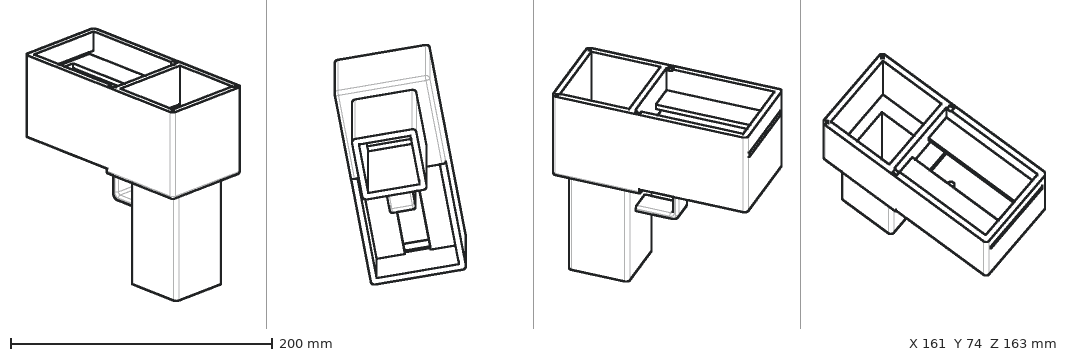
import cadquery as cq

box_length = 161.0
box_width = 74.0
top_z = 163.0
wall = 5.0
corner_radius = 3.0
mid_y = box_width / 2

tube_outer = 50.0
tube_opening = 40.0
tube_length = 90.0

floor_bottom_z = tube_length
floor_top_z = floor_bottom_z + wall
floor_start_x = 89.0

divider_start_x = floor_start_x + wall
divider_end_x = divider_start_x + wall
divider_bottom_z = 131.0
cavity_end_x = box_length - wall
cavity_width = box_width - 2 * wall
tube_center_x = (divider_end_x + cavity_end_x) / 2
tube_front_x = tube_center_x - tube_outer / 2

rail_top_z = 143.0
rail_thickness = 4.0
rail_gap = 20.0
slit_height = 4.0

hook_front_x = 67.5
hook_bottom_z = 55.0
hook_thickness = 5.0
hook_width = 20.0
hook_bend_radius = 5.0
hook_edge_radius = 2.0
hook_inner_radius = 2.0

groove_diameter = 4.0
groove_length = 3.5
groove_x = floor_start_x + groove_diameter / 2
screw_diameter = 2.1
screw_depth = 10.0
screw_inset = 3.0


def block(x_range, y_range, z_range):
    """Box between the given limits on each axis."""
    sizes = [high - low for low, high in (x_range, y_range, z_range)]
    corner = (x_range[0], y_range[0], z_range[0])
    return cq.Workplane("XY").box(*sizes, centered=False).translate(corner)


def centered_range(center, size):
    return (center - size / 2, center + size / 2)


def make_shell():
    """Solid box body, stepped up by the floor thickness in front of the floor plate."""
    full_y = (0, box_width)
    shell = block((0, box_length), full_y, (floor_bottom_z, top_z))
    shell = shell.edges("|Z").fillet(corner_radius)
    shell = shell.faces("<Z").edges().fillet(corner_radius)
    return shell.cut(block((0, floor_start_x), full_y, (floor_bottom_z, floor_top_z)))


def cut_compartments(body):
    """Open-bottomed front compartment and floored rear one, joined below the divider."""
    inner_y = centered_range(mid_y, cavity_width)
    front = block((wall, divider_start_x), inner_y, (floor_top_z, top_z))
    rear = block((divider_end_x, cavity_end_x), inner_y, (floor_top_z, top_z))
    passage = block((divider_start_x, divider_end_x), inner_y, (floor_top_z, divider_bottom_z))
    return body.cut(front).cut(rear).cut(passage)


def make_rails():
    """Two flat rails along the side walls with a gap between them."""
    z_range = (rail_top_z - rail_thickness, rail_top_z)
    x_range = (wall, divider_start_x)
    shelf = block(x_range, centered_range(mid_y, cavity_width), z_range)
    return shelf.cut(block(x_range, centered_range(mid_y, rail_gap), z_range))


def make_slit():
    """Slit through the front wall, level with the rail tops."""
    return block((0, wall), centered_range(mid_y, cavity_width), (rail_top_z, rail_top_z + slit_height))


def make_tube():
    tube = block(
        centered_range(tube_center_x, tube_outer),
        centered_range(mid_y, tube_outer),
        (0, tube_length),
    )
    return tube.edges("|Z").fillet(corner_radius)


def make_tube_opening():
    """Square passage through the tube and the floor plate."""
    return block(
        centered_range(tube_center_x, tube_opening),
        centered_range(mid_y, tube_opening),
        (0, floor_top_z),
    )


def make_hook():
    """L-shaped hook with a rounded bend and rounded side edges."""
    inner_x = hook_front_x + hook_thickness
    inner_z = hook_bottom_z + hook_thickness
    hook = (
        cq.Workplane("XZ", origin=(0, mid_y, 0))
        .moveTo(hook_front_x, floor_bottom_z)
        .lineTo(hook_front_x, hook_bottom_z + hook_bend_radius)
        .radiusArc((hook_front_x + hook_bend_radius, hook_bottom_z), -hook_bend_radius)
        .lineTo(tube_front_x, hook_bottom_z)
        .lineTo(tube_front_x, inner_z)
        .lineTo(inner_x + hook_inner_radius, inner_z)
        .radiusArc((inner_x, inner_z + hook_inner_radius), hook_inner_radius)
        .lineTo(inner_x, floor_bottom_z)
        .close()
        .extrude(hook_width / 2, both=True)
    )
    square_edges = cq.selectors.StringSyntaxSelector(">Z or >X")
    side_edges = cq.selectors.StringSyntaxSelector("<Y or >Y") - square_edges
    return hook.edges(side_edges).fillet(hook_edge_radius)


def make_pivot_grooves():
    """Half-round grooves across the rim, running outward from the front compartment."""
    groove_span = cavity_width + 2 * groove_length
    return (
        cq.Workplane("XZ", origin=(groove_x, mid_y, top_z))
        .circle(groove_diameter / 2)
        .extrude(groove_span / 2, both=True)
    )


def make_screw_holes():
    screw_x = box_length - screw_inset
    return (
        cq.Workplane("XY", origin=(0, 0, top_z))
        .pushPoints([(screw_x, screw_inset), (screw_x, box_width - screw_inset)])
        .circle(screw_diameter / 2)
        .extrude(-screw_depth)
    )


body = cut_compartments(make_shell())
body = body.union(make_rails()).union(make_tube()).union(make_hook())
body = body.cut(make_tube_opening()).cut(make_slit())
result = body.cut(make_pivot_grooves()).cut(make_screw_holes())